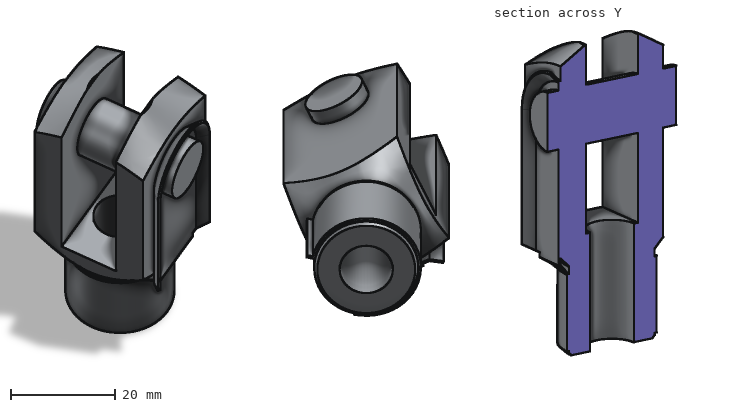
import cadquery as cq
import math

body_width = 24.0
body_height = 62.0
slot_width = 12.0
slot_floor_z = 24.0
neck_radius = 10.0
neck_height = 18.0
foot_chamfer = 0.6
crown_radius = 6.4
crown_angle = 30.0
bore_radius = 5.1
turning_radius = 18.0

pin_radius = 6.0
pin_length = 30.0
pin_z = 48.0

sheet = 0.5
sleeve_bottom_z = 1.0
sleeve_top_z = 16.5
sleeve_gap_start = 37.5
sleeve_gap_end = 127.5
lip_radius = 11.6
leaf_base_radius = 7.8
leaf_flare = 2.1
flare_angle = 45.0
leaf_bottom_z = 19.4
leaf_bottom_angle = 30.0
strap_top_z = 18.7

body_half = body_width / 2
sleeve_radius = neck_radius + sheet
strap_half_angle = sleeve_gap_start
strap_half_width = sleeve_radius * math.sin(math.radians(strap_half_angle))
rim_bevel = sheet * math.cos(math.radians(flare_angle))
leaf_depth = leaf_flare + rim_bevel


def polar(radius, angle):
    """Point in the XY plane at an angle in degrees."""
    return (radius * math.cos(math.radians(angle)), radius * math.sin(math.radians(angle)))


def make_body():
    """Square bar turned at both ends, slotted across Y and bored from below."""
    lower_cone_top_z = neck_height + turning_radius - neck_radius
    crown_drop = (turning_radius - crown_radius) * math.tan(math.radians(crown_angle))
    turned = (
        cq.Workplane("XZ")
        .polyline([
            (0, 0),
            (neck_radius - foot_chamfer, 0),
            (neck_radius, foot_chamfer),
            (neck_radius, neck_height),
            (turning_radius, lower_cone_top_z),
            (turning_radius, body_height - crown_drop),
            (crown_radius, body_height),
            (0, body_height),
        ])
        .close()
        .revolve(360, (0, 0, 0), (0, 1, 0))
    )
    bar = cq.Workplane("XY").rect(body_width, body_width).extrude(body_height)
    slot = (
        cq.Workplane("XY", origin=(0, 0, slot_floor_z))
        .rect(slot_width, body_width)
        .extrude(body_height - slot_floor_z)
    )
    bore = cq.Workplane("XY").circle(bore_radius).extrude(slot_floor_z)
    return turned.intersect(bar).cut(slot).cut(bore)


def make_pin():
    """Cross pin along X through both fork arms."""
    return (
        cq.Workplane("YZ", origin=(-pin_length / 2, 0, pin_z))
        .circle(pin_radius)
        .extrude(pin_length)
    )


def arc_band(start, end, z):
    """Closed outline of the sleeve sheet between two angles, at height z."""
    middle = (start + end) / 2
    return (
        cq.Workplane("XY", origin=(0, 0, z))
        .moveTo(*polar(neck_radius, start))
        .threePointArc(polar(neck_radius, middle), polar(neck_radius, end))
        .lineTo(*polar(sleeve_radius, end))
        .threePointArc(polar(sleeve_radius, middle), polar(sleeve_radius, start))
        .close()
    )


def make_sleeve():
    """Open ring around the neck with a lip turned outward at one end."""
    height = sleeve_top_z - sleeve_bottom_z
    ring = arc_band(sleeve_gap_end, sleeve_gap_start + 360, sleeve_bottom_z).extrude(height)
    lip = (
        cq.Workplane("XY", origin=(0, 0, sleeve_bottom_z))
        .moveTo(neck_radius - sheet, -sheet)
        .lineTo(lip_radius, -sheet)
        .lineTo(lip_radius, 0)
        .lineTo(neck_radius - sheet, 0)
        .close()
        .extrude(height)
        .rotate((0, 0, 0), (0, 0, 1), sleeve_gap_end)
    )
    return ring.union(lip)


def leaf_outline(x, radius):
    """Strip rounded about the pin at its top, in the plane at x."""
    return (
        cq.Workplane("YZ", origin=(x, 0, pin_z))
        .moveTo(-radius, neck_height - pin_z)
        .lineTo(-radius, 0)
        .threePointArc((0, radius), (radius, 0))
        .lineTo(radius, neck_height - pin_z)
        .close()
    )


def make_leaf():
    """Flat leaf against the fork arm with a flared rim, open at its lower end."""
    flare = leaf_outline(body_half, leaf_base_radius).extrude(leaf_flare, taper=-flare_angle)
    rim_radius = leaf_base_radius + leaf_flare
    rim = leaf_outline(body_half + leaf_flare, rim_radius).extrude(rim_bevel, taper=flare_angle)
    inner_radius = leaf_base_radius + sheet - sheet / math.cos(math.radians(flare_angle))
    hollow = leaf_outline(body_half + sheet, inner_radius).extrude(leaf_depth - sheet, taper=-flare_angle)
    end_rise = leaf_depth * math.tan(math.radians(leaf_bottom_angle))
    end_cut = (
        cq.Workplane("XZ")
        .moveTo(body_half, 0)
        .lineTo(body_half, leaf_bottom_z)
        .lineTo(body_half + leaf_depth, leaf_bottom_z + end_rise)
        .lineTo(body_half + leaf_depth, 0)
        .close()
        .extrude(body_width, both=True)
    )
    return flare.union(rim).cut(hollow).cut(end_cut)


def make_strap():
    """Strap of constant width, from the curved top of the sleeve to the flat foot of the leaf."""
    mid_plate_x = body_half + sheet / 2
    rising = (
        arc_band(-strap_half_angle, strap_half_angle, sleeve_top_z)
        .workplane(offset=strap_top_z - sleeve_top_z)
        .moveTo(body_half, -strap_half_width)
        .lineTo(body_half, strap_half_width)
        .lineTo(body_half + sheet, strap_half_width)
        .lineTo(body_half + sheet, -strap_half_width)
        .close()
        .loft(ruled=True)
    )
    foot_height = leaf_bottom_z + sheet - strap_top_z
    foot = (
        cq.Workplane("XY", origin=(mid_plate_x, 0, strap_top_z))
        .rect(sheet, 2 * strap_half_width)
        .extrude(foot_height)
    )
    return rising.union(foot)


result = make_body().union(make_pin()).union(make_sleeve()).union(make_leaf()).union(make_strap())